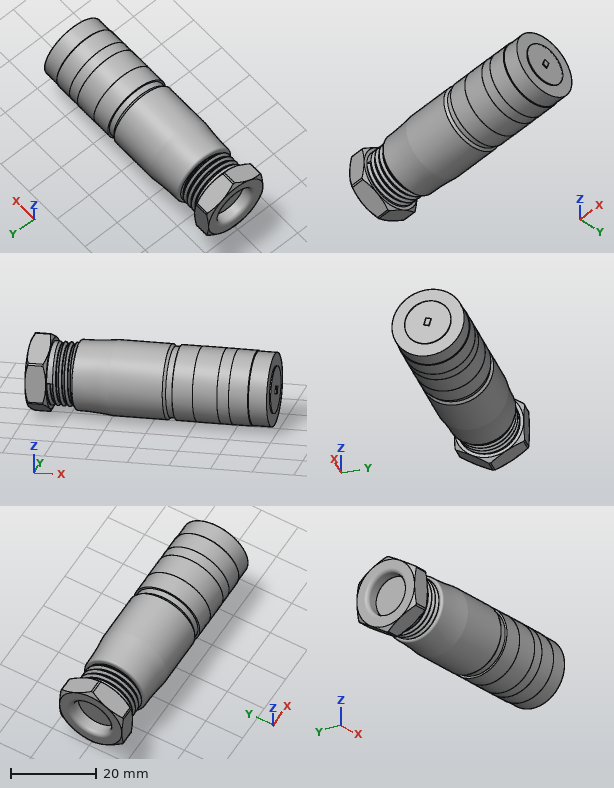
import cadquery as cq
import math

total_length = 58.75

nut_length = 5.05
nut_across_flats = 17.0
nut_corner_diameter = 19.3
nut_face_diameter = 16.9
nut_chamfer_angle = 30.0
bore_diameter = 10.6
bore_depth = 3.3
bore_lip_radius = 1.0

thread_diameter = 15.2
thread_pitch = 1.4
groove_depth = 0.6
groove_width = 1.3
groove_root_width = 0.2
groove_start_x = 5.75
groove_overcut = 0.025

housing_start_x = 11.15
lip_radius = 0.5
nose_diameter = 16.8
nose_end_x = 20.2
grip_diameter = 18.0
grip_end_x = 33.15
waist_diameter = 16.9
waist_start_x = 33.85
waist_end_x = 35.4

rear_band_diameter = 17.9
seam_x = 40.35
middle_band_diameter = 18.0
ring_start_x = 46.25
ring_end_x = 49.05
ring_start_diameter = 17.9
ring_end_diameter = 18.0
front_band_diameter = 17.9
step_start_x = 53.65
step_end_x = 53.8
front_end_diameter = 17.6
front_end_x = 58.15

insert_diameter = 11.3
insert_end_x = 58.45
tab_width = 1.3
tab_height = 1.8
tab_tilt = -17.0


def disc(diameter, start_x, end_x):
    """Cylinder on the X axis between two positions."""
    return cq.Workplane("YZ", origin=(start_x, 0, 0)).circle(diameter / 2).extrude(end_x - start_x)


def turned(outline):
    """Revolve a closed X-radius outline about the X axis."""
    return outline.close().revolve(360, (0, 0, 0), (1, 0, 0))


def gland_nut():
    corner_radius = nut_corner_diameter / 2
    face_radius = nut_face_diameter / 2
    chamfer_length = (corner_radius - face_radius) * math.tan(math.radians(nut_chamfer_angle))
    hexagon = (
        cq.Workplane("YZ")
        .polygon(6, nut_across_flats, circumscribed=True)
        .extrude(nut_length)
    )
    envelope = turned(
        cq.Workplane("XY")
        .lineTo(0, face_radius)
        .lineTo(chamfer_length, corner_radius)
        .lineTo(nut_length - chamfer_length, corner_radius)
        .lineTo(nut_length, face_radius)
        .lineTo(nut_length, 0)
    )
    return hexagon.intersect(envelope)


def cable_bore():
    bore_radius = bore_diameter / 2
    lip_center_x = bore_lip_radius
    lip_center_r = bore_radius + bore_lip_radius
    diagonal = bore_lip_radius * math.sqrt(0.5)
    return turned(
        cq.Workplane("XY")
        .lineTo(0, lip_center_r)
        .threePointArc((lip_center_x - diagonal, lip_center_r - diagonal), (lip_center_x, bore_radius))
        .lineTo(bore_depth, bore_radius)
        .lineTo(bore_depth, 0)
    )


def threaded_neck():
    """Neck with a right-hand flat-bottomed V groove that starts on the -Y side and runs into the housing."""
    neck_radius = thread_diameter / 2
    run_length = housing_start_x + thread_pitch / 2 - groove_start_x
    path = cq.Workplane(cq.Wire.makeHelix(thread_pitch, run_length, neck_radius))
    root_radius = neck_radius - groove_depth
    outer_radius = neck_radius + groove_overcut
    root_half = groove_root_width / 2
    flank_slope = (groove_width / 2 - root_half) / groove_depth
    outer_half = root_half + flank_slope * (groove_depth + groove_overcut)
    groove = (
        cq.Workplane("XZ")
        .moveTo(root_radius, -root_half)
        .lineTo(root_radius, root_half)
        .lineTo(outer_radius, outer_half)
        .lineTo(outer_radius, -outer_half)
        .close()
        .sweep(path, isFrenet=True)
        .rotate((0, 0, 0), (0, 1, 0), 90)
        .rotate((0, 0, 0), (1, 0, 0), -90)
        .translate((groove_start_x, 0, 0))
    )
    return disc(thread_diameter, nut_length, nose_end_x).cut(groove)


def rear_housing():
    nose_radius = nose_diameter / 2
    grip_radius = grip_diameter / 2
    waist_radius = waist_diameter / 2
    nose_start_x = housing_start_x + lip_radius
    lip_center_r = nose_radius - lip_radius
    diagonal = lip_radius * math.sqrt(0.5)
    return turned(
        cq.Workplane("XY")
        .moveTo(housing_start_x, 0)
        .lineTo(housing_start_x, lip_center_r)
        .threePointArc((nose_start_x - diagonal, lip_center_r + diagonal), (nose_start_x, nose_radius))
        .tangentArcPoint((nose_end_x, grip_radius), relative=False)
        .lineTo(grip_end_x, grip_radius)
        .lineTo(waist_start_x, waist_radius)
        .lineTo(waist_end_x, waist_radius)
        .lineTo(waist_end_x, 0)
    )


def coupling_sleeve():
    rear_radius = rear_band_diameter / 2
    middle_radius = middle_band_diameter / 2
    front_band_radius = front_band_diameter / 2
    end_radius = front_end_diameter / 2
    return turned(
        cq.Workplane("XY")
        .moveTo(waist_end_x, 0)
        .lineTo(waist_end_x, rear_radius)
        .lineTo(seam_x, rear_radius)
        .lineTo(seam_x, middle_radius)
        .lineTo(ring_start_x, middle_radius)
        .lineTo(ring_start_x, ring_start_diameter / 2)
        .lineTo(ring_end_x, ring_end_diameter / 2)
        .lineTo(ring_end_x, front_band_radius)
        .lineTo(step_start_x, front_band_radius)
        .lineTo(step_end_x, end_radius)
        .lineTo(front_end_x, end_radius)
        .lineTo(front_end_x, 0)
    )


def key_tab():
    return (
        cq.Workplane("YZ", origin=(front_end_x, 0, 0))
        .rect(tab_width, tab_height)
        .extrude(total_length - front_end_x)
        .rotate((0, 0, 0), (1, 0, 0), tab_tilt)
    )


result = (
    gland_nut()
    .union(threaded_neck())
    .union(rear_housing())
    .union(coupling_sleeve())
    .union(disc(insert_diameter, front_end_x, insert_end_x))
    .union(key_tab())
    .cut(cable_bore())
)